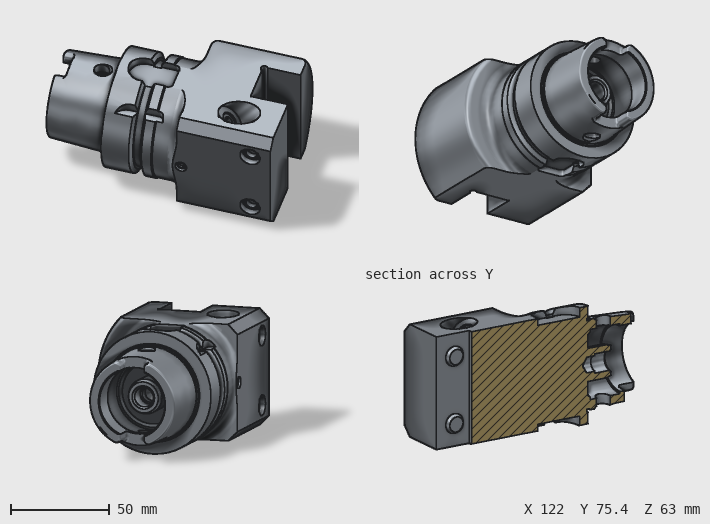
import cadquery as cq
import math


OVERALL_LENGTH = 122.0
TIP_X = -32.0
TAPER_BASE_RADIUS = 24.3
TAPER_SLOPE = 0.05
NECK_X = -1.6
NECK_RADIUS = 23.7
TIP_RADIUS = TAPER_BASE_RADIUS + TAPER_SLOPE * (TIP_X - NECK_X)
TIP_ROUNDING = 1.2
FACE_GROOVE_RADIUS = 25.4
FACE_GROOVE_FLOOR_RADIUS = 24.6
FACE_GROOVE_DEPTH = 0.6

BORE_RADIUS = 17.5
BORE_FLOOR_RADIUS = 16.0
BORE_LIP_CHAMFER = 0.5
CLAMP_SHOULDER_X = TIP_X + 12.9
CLAMP_BORE_RADIUS = 18.5
BORE_FLOOR_X = 0.0
BOSS_DIAMETER = 17.9
BOSS_TOP_DIAMETER = 16.0
BOSS_CHAMFER_X = -10.9
BOSS_CHAMFER_LENGTH = 3.0
BOSS_BORE_DIAMETER = 10.0
BOSS_BORE_MOUTH_DIAMETER = 12.0
BOSS_BORE_DEPTH = 9.8
BOSS_DRILL_DIAMETER = 8.0
BOSS_DRILL_DEPTH = 14.6

KEYWAY_HALF_WIDTH = 6.2
KEYWAY_TOP_DEPTH = 6.1
KEYWAY_BOTTOM_DEPTH = 10.1
KEYWAY_FLARE_RADIUS = 2.5
KEYWAY_FLOOR_FILLET = 1.6
KEYWAY_LOW_Z = 12.2

ACCESS_X = -9.2
ACCESS_DIAMETER = 8.0
ACCESS_MOUTH_DIAMETER = 9.3
ACCESS_MOUTH_SHIFT = 0.5

FLANGE_RADIUS = 31.5
GROOVE_FRONT_X = 14.6
GROOVE_FLANK_LENGTH = 1.5
GROOVE_FLANK_RADIUS = 28.9
GROOVE_FLOOR_RADIUS = 27.5
GROOVE_BACK_X = 21.5
FLANGE_BACK_X = 27.1
FLANGE_BACK_CHAMFER = 0.6

POCKET_START_X = 5.2
POCKET_END_X = 30.3
POCKET_WIDTH = 16.0
POCKET_CORNER_RADIUS = 2.5
POCKET_FLOOR_Z = 26.5
NOTCH_START_X = 4.3
NOTCH_OFFSET = 20.0

COLLAR_RADIUS = 31.0
COLLAR_FILLET = 5.2
HEAD_START_X = 40.3
HEAD_END_X = OVERALL_LENGTH + TIP_X
HEAD_RADIUS = 43.4
HEAD_ROUNDING = 3.0
HEAD_HALF_HEIGHT = 30.0
HEAD_FLAT_Y = -32.0
HEAD_CHAMFER = 5.0

SEAT_X = 70.3
SEAT_TOP_Y = 20.0
SEAT_BOTTOM_Y = -2.0
SEAT_RELIEF_RADIUS = 1.7
SEAT_RELIEF_INSET = 0.7

SCREW_X = 79.2
SCREW_Z = 17.9
SCREW_DIAMETER = 10.5
SCREW_TIP_DIAMETER = 7.5
SCREW_TIP_LENGTH = 1.2
SCREW_NOSE_DIAMETER = 8.0
SCREW_NOSE_LENGTH = 2.0
SCREW_SOCKET_DIAMETER = 5.7
SCREW_SOCKET_DEPTH = 3.0
SCREW_RECESS = 2.5

PLUG_X = 42.6
PLUG_DIAMETER = 6.0
PLUG_TIP_DIAMETER = 4.3
PLUG_TIP_LENGTH = 1.0
PLUG_SOCKET_DIAMETER = 3.4
PLUG_SOCKET_DEPTH = 1.5
PLUG_RECESS = 1.0

NOZZLE_FLOOR_X = 63.6
NOZZLE_FLOOR_Y = -16.0
NOZZLE_FLOOR_DROP = 5.4
NOZZLE_DIAMETER = 16.0
NOZZLE_TILT = 42.0
NOZZLE_YAW = 14.0
NOZZLE_SEAT_MOUTH_DIAMETER = 8.8
NOZZLE_SEAT_DIAMETER = 8.0
NOZZLE_SEAT_DEPTH = 0.6
NOZZLE_BORE_DIAMETER = 4.3
NOZZLE_BORE_DEPTH = 3.7

EDGE_TOLERANCE = 0.01
SLACK = 1.2
DRILL_TIP_SLOPE = math.tan(math.radians(30))


def turned(profile):
    """Revolve a closed (x, radius) outline about the tool axis."""
    return profile.close().revolve(360, (0, 0, 0), (1, 0, 0))


def frustum(start, direction, start_diameter, end_diameter, length):
    """Cone stub from start along direction; an end diameter of 0 makes a full cone."""
    start, direction = cq.Vector(*start), cq.Vector(*direction)
    if start_diameter == end_diameter:
        stub = cq.Solid.makeCylinder(start_diameter / 2, length, start, direction)
    else:
        stub = cq.Solid.makeCone(start_diameter / 2, end_diameter / 2, length, start, direction)
    return cq.Workplane(stub)


def drilled(start, direction, diameter, depth):
    """Drilled hole with a conical end."""
    tip = cq.Vector(*start) + cq.Vector(*direction).normalized() * depth
    hole = frustum(start, direction, diameter, diameter, depth)
    return hole.union(frustum(tip.toTuple(), direction, diameter, 0, diameter / 2 * DRILL_TIP_SLOPE))


def turned_body():
    """Everything that is round about the tool axis, still without its bore."""
    bend = math.sqrt(0.5)
    collar_x = HEAD_START_X - COLLAR_FILLET
    collar_top = COLLAR_RADIUS + COLLAR_FILLET
    rim_start = HEAD_START_X + HEAD_ROUNDING
    rim_end = HEAD_END_X - HEAD_ROUNDING
    rim_low = HEAD_RADIUS - HEAD_ROUNDING
    return turned(
        cq.Workplane("XY")
        .moveTo(TIP_X, 0)
        .lineTo(TIP_X, TIP_RADIUS)
        .lineTo(NECK_X, TAPER_BASE_RADIUS)
        .lineTo(NECK_X / 2, NECK_RADIUS)
        .lineTo(FACE_GROOVE_DEPTH, NECK_RADIUS)
        .lineTo(FACE_GROOVE_DEPTH, FACE_GROOVE_FLOOR_RADIUS)
        .lineTo(0, FACE_GROOVE_RADIUS)
        .lineTo(0, FLANGE_RADIUS)
        .lineTo(GROOVE_FRONT_X, FLANGE_RADIUS)
        .lineTo(GROOVE_FRONT_X + GROOVE_FLANK_LENGTH, GROOVE_FLANK_RADIUS)
        .lineTo(GROOVE_FRONT_X + GROOVE_FLANK_LENGTH, GROOVE_FLOOR_RADIUS)
        .lineTo(GROOVE_BACK_X - GROOVE_FLANK_LENGTH, GROOVE_FLOOR_RADIUS)
        .lineTo(GROOVE_BACK_X - GROOVE_FLANK_LENGTH, GROOVE_FLANK_RADIUS)
        .lineTo(GROOVE_BACK_X, FLANGE_RADIUS)
        .lineTo(FLANGE_BACK_X - FLANGE_BACK_CHAMFER, FLANGE_RADIUS)
        .lineTo(FLANGE_BACK_X, COLLAR_RADIUS)
        .lineTo(collar_x, COLLAR_RADIUS)
        .threePointArc(
            (collar_x + COLLAR_FILLET * bend, collar_top - COLLAR_FILLET * bend),
            (HEAD_START_X, collar_top),
        )
        .lineTo(HEAD_START_X, rim_low)
        .threePointArc(
            (rim_start - HEAD_ROUNDING * bend, rim_low + HEAD_ROUNDING * bend),
            (rim_start, HEAD_RADIUS),
        )
        .lineTo(rim_end, HEAD_RADIUS)
        .threePointArc(
            (rim_end + HEAD_ROUNDING * bend, rim_low + HEAD_ROUNDING * bend),
            (HEAD_END_X, rim_low),
        )
        .lineTo(HEAD_END_X, 0)
    )


def head_envelope():
    """Flats and chamfers bounding the head, with a free length in front for the flange."""
    length = HEAD_END_X - FLANGE_BACK_X
    width = HEAD_RADIUS + SLACK - HEAD_FLAT_Y
    block = (
        cq.Workplane("XY")
        .box(length, width, 2 * HEAD_HALF_HEIGHT, centered=(False, False, True))
        .translate((FLANGE_BACK_X, HEAD_FLAT_Y, 0))
        .edges("|X and <Y")
        .chamfer(HEAD_CHAMFER)
    )
    front = frustum((TIP_X, 0, 0), (1, 0, 0), 2 * HEAD_RADIUS, 2 * HEAD_RADIUS, FLANGE_BACK_X - TIP_X)
    return block.union(front)


def keyway(depth, side):
    """Straight keyway cutter; side is +1 for the one at +Z, -1 for -Z."""
    height = TAPER_BASE_RADIUS + SLACK - KEYWAY_LOW_Z
    return (
        cq.Workplane("XY")
        .box(depth + SLACK, 2 * KEYWAY_HALF_WIDTH, height, centered=(False, True, True))
        .translate((TIP_X - SLACK, 0, side * (KEYWAY_LOW_Z + height / 2)))
    )


def on_keyway_wall(edge):
    """Tell whether an edge lies in the plane of a keyway side wall."""
    in_plane = edge.BoundingBox().ylen < EDGE_TOLERANCE
    return in_plane and abs(abs(edge.Center().y) - KEYWAY_HALF_WIDTH) < EDGE_TOLERANCE


def is_keyway_outer_edge(edge):
    """Tell whether an edge is where a keyway side wall meets the taper surface."""
    center, box = edge.Center(), edge.BoundingBox()
    near_taper = math.hypot(center.y, center.z) > (BORE_RADIUS + TIP_RADIUS) / 2
    return on_keyway_wall(edge) and near_taper and box.xlen > KEYWAY_TOP_DEPTH / 2


def is_tip_outer_edge(edge):
    """Tell whether an edge bounds the tip face anywhere but at the bore."""
    on_tip = edge.BoundingBox().xmax < TIP_X + EDGE_TOLERANCE
    at_bore = edge.geomType() == "CIRCLE" and abs(edge.radius() - BORE_RADIUS) < EDGE_TOLERANCE
    return on_tip and not at_bore


def is_keyway_corner(edge):
    """Tell whether an edge is where a keyway side wall meets the keyway floor."""
    center, box = edge.Center(), edge.BoundingBox()
    floor_depth = KEYWAY_TOP_DEPTH if center.z > 0 else KEYWAY_BOTTOM_DEPTH
    on_floor = box.xlen < EDGE_TOLERANCE and abs(center.x - TIP_X - floor_depth) < EDGE_TOLERANCE
    return on_keyway_wall(edge) and on_floor


def with_keyways(body):
    """Cut both keyways into the tip, then round their mouths, the tip face and their floor corners."""
    mouth_bore = frustum((TIP_X, 0, 0), (1, 0, 0), 2 * BORE_RADIUS, 2 * BORE_RADIUS, CLAMP_SHOULDER_X - TIP_X)
    body = body.cut(mouth_bore)
    body = body.cut(keyway(KEYWAY_TOP_DEPTH, 1)).cut(keyway(KEYWAY_BOTTOM_DEPTH, -1)).val()
    body = body.fillet(KEYWAY_FLARE_RADIUS, filter(is_keyway_outer_edge, body.Edges()))
    body = body.fillet(TIP_ROUNDING, filter(is_tip_outer_edge, body.Edges()))
    body = body.fillet(KEYWAY_FLOOR_FILLET, filter(is_keyway_corner, body.Edges()))
    return cq.Workplane(body)


def shank_bore():
    """Bore with a lip chamfer, an undercut behind the clamping shoulder and a 45 degree floor cone."""
    floor_cone_x = BORE_FLOOR_X - (BORE_RADIUS - BORE_FLOOR_RADIUS)
    return turned(
        cq.Workplane("XY")
        .moveTo(TIP_X, 0)
        .lineTo(TIP_X, BORE_RADIUS + BORE_LIP_CHAMFER)
        .lineTo(TIP_X + BORE_LIP_CHAMFER, BORE_RADIUS)
        .lineTo(CLAMP_SHOULDER_X, BORE_RADIUS)
        .lineTo(CLAMP_SHOULDER_X, CLAMP_BORE_RADIUS)
        .lineTo(floor_cone_x, CLAMP_BORE_RADIUS)
        .lineTo(floor_cone_x, BORE_RADIUS)
        .lineTo(BORE_FLOOR_X, BORE_FLOOR_RADIUS)
        .lineTo(BORE_FLOOR_X, 0)
    )


def coolant_boss():
    """Boss on the bore floor and the stepped hole drilled into it, as two separate solids."""
    front_x = BOSS_CHAMFER_X - BOSS_CHAMFER_LENGTH
    mouth_depth = (BOSS_BORE_MOUTH_DIAMETER - BOSS_BORE_DIAMETER) / 2
    axis = (1, 0, 0)
    boss = frustum((front_x, 0, 0), axis, BOSS_TOP_DIAMETER, BOSS_DIAMETER, BOSS_CHAMFER_LENGTH)
    stem = frustum((BOSS_CHAMFER_X, 0, 0), axis, BOSS_DIAMETER, BOSS_DIAMETER, SLACK - BOSS_CHAMFER_X)
    mouth = frustum((front_x, 0, 0), axis, BOSS_BORE_MOUTH_DIAMETER, BOSS_BORE_DIAMETER, mouth_depth)
    bore = frustum((front_x, 0, 0), axis, BOSS_BORE_DIAMETER, BOSS_BORE_DIAMETER, BOSS_BORE_DEPTH)
    drill = drilled((front_x, 0, 0), axis, BOSS_DRILL_DIAMETER, BOSS_DRILL_DEPTH)
    return boss.union(stem), mouth.union(bore).union(drill)


def with_access_hole(body, side):
    """Cut a radial hole with an off-centre 45 degree countersink; side is +1 for +Z, -1 for -Z."""
    outer_z = TAPER_BASE_RADIUS + TAPER_SLOPE * (ACCESS_X - NECK_X)
    inner_z = BOSS_DIAMETER / 2 + SLACK
    outward = (0, 0, side)
    length = outer_z + SLACK - inner_z
    hole = frustum((ACCESS_X, 0, side * inner_z), outward, ACCESS_DIAMETER, ACCESS_DIAMETER, length)

    small_diameter = ACCESS_DIAMETER - 2 * (ACCESS_MOUTH_SHIFT + EDGE_TOLERANCE)
    depth = (ACCESS_MOUTH_DIAMETER - small_diameter) / 2
    sink_start = (ACCESS_X + ACCESS_MOUTH_SHIFT, 0, side * (outer_z - depth))
    outer_diameter = ACCESS_MOUTH_DIAMETER + 2 * SLACK
    countersink = frustum(sink_start, outward, small_diameter, outer_diameter, depth + SLACK)
    return body.cut(hole).cut(countersink)


def flange_pocket(start_x, center_y, floor_z):
    """Pocket open upwards, with a full round front end and small rear corners."""
    length = POCKET_END_X - start_x
    height = FLANGE_RADIUS + SLACK - floor_z
    return (
        cq.Workplane("XY")
        .box(length, POCKET_WIDTH, height, centered=(False, True, False))
        .edges("|Z and <X")
        .fillet(POCKET_WIDTH / 2 - EDGE_TOLERANCE)
        .edges("|Z and >X")
        .fillet(POCKET_CORNER_RADIUS)
        .translate((start_x, center_y, floor_z))
    )


def tool_seat():
    """Rectangular seat with a relief hole in its inner upper corner."""
    relief_x = SEAT_X + SEAT_RELIEF_INSET
    relief_y = SEAT_TOP_Y - SEAT_RELIEF_INSET
    seat = (
        cq.Workplane("XY")
        .moveTo(SEAT_X, SEAT_BOTTOM_Y)
        .lineTo(HEAD_END_X + SLACK, SEAT_BOTTOM_Y)
        .lineTo(HEAD_END_X + SLACK, SEAT_TOP_Y)
        .lineTo(SEAT_X, SEAT_TOP_Y)
        .close()
        .extrude(HEAD_HALF_HEIGHT + SLACK, both=True)
    )
    relief = (
        cq.Workplane("XY")
        .center(relief_x, relief_y)
        .circle(SEAT_RELIEF_RADIUS)
        .extrude(HEAD_HALF_HEIGHT + SLACK, both=True)
    )
    return seat.union(relief)


def with_screw_end(body, x, z, diameter, tip, tip_length, socket, socket_depth, recess):
    """Sink a hole into the flat side and leave the socketed, chamfered screw end on its floor."""
    inward = (0, 1, 0)
    pocket = frustum((x, HEAD_FLAT_Y, z), inward, diameter, diameter, recess + tip_length)
    end = frustum((x, HEAD_FLAT_Y + recess, z), inward, tip, diameter, tip_length)
    socket_hole = drilled((x, HEAD_FLAT_Y + recess, z), inward, socket, socket_depth)
    return body.cut(pocket).union(end).cut(socket_hole)


def seat_screw_nose(z):
    """Screw end standing proud of the lower seat face."""
    start = (SCREW_X, SEAT_BOTTOM_Y, z)
    return frustum(start, (0, 1, 0), SCREW_DIAMETER, SCREW_NOSE_DIAMETER, SCREW_NOSE_LENGTH)


def nozzle_hole():
    """Tilted hole with a flat floor holding a shallow tapered seat and a small bore."""
    tilt, yaw = math.radians(NOZZLE_TILT), math.radians(NOZZLE_YAW)
    outward = cq.Vector(
        math.sin(tilt) * math.cos(yaw),
        math.sin(tilt) * math.sin(yaw),
        math.cos(tilt),
    )
    floor = cq.Vector(NOZZLE_FLOOR_X, NOZZLE_FLOOR_Y, HEAD_HALF_HEIGHT - NOZZLE_FLOOR_DROP)
    length = (NOZZLE_FLOOR_DROP + NOZZLE_DIAMETER) / math.cos(tilt)
    start, inward = floor.toTuple(), (-outward).toTuple()
    hole = frustum(start, outward.toTuple(), NOZZLE_DIAMETER, NOZZLE_DIAMETER, length)
    seat = frustum(start, inward, NOZZLE_SEAT_MOUTH_DIAMETER, NOZZLE_SEAT_DIAMETER, NOZZLE_SEAT_DEPTH)
    return hole.union(seat).union(drilled(start, inward, NOZZLE_BORE_DIAMETER, NOZZLE_BORE_DEPTH))


body = turned_body().intersect(head_envelope())

body = with_keyways(body).cut(shank_bore())
boss, boss_hole = coolant_boss()
body = body.union(boss).cut(boss_hole)
for side in (1, -1):
    body = with_access_hole(body, side)

main_pocket = flange_pocket(POCKET_START_X, 0, POCKET_FLOOR_Z)
side_notch = flange_pocket(NOTCH_START_X, -NOTCH_OFFSET - POCKET_WIDTH / 2, NOTCH_OFFSET)
body = body.cut(main_pocket).cut(main_pocket.mirror("XY")).cut(side_notch)

body = body.cut(tool_seat()).cut(nozzle_hole())
for screw_z in (SCREW_Z, -SCREW_Z):
    body = with_screw_end(
        body, SCREW_X, screw_z, SCREW_DIAMETER, SCREW_TIP_DIAMETER,
        SCREW_TIP_LENGTH, SCREW_SOCKET_DIAMETER, SCREW_SOCKET_DEPTH, SCREW_RECESS,
    )
    body = body.union(seat_screw_nose(screw_z))
body = with_screw_end(
    body, PLUG_X, 0, PLUG_DIAMETER, PLUG_TIP_DIAMETER,
    PLUG_TIP_LENGTH, PLUG_SOCKET_DIAMETER, PLUG_SOCKET_DEPTH, PLUG_RECESS,
)

result = body